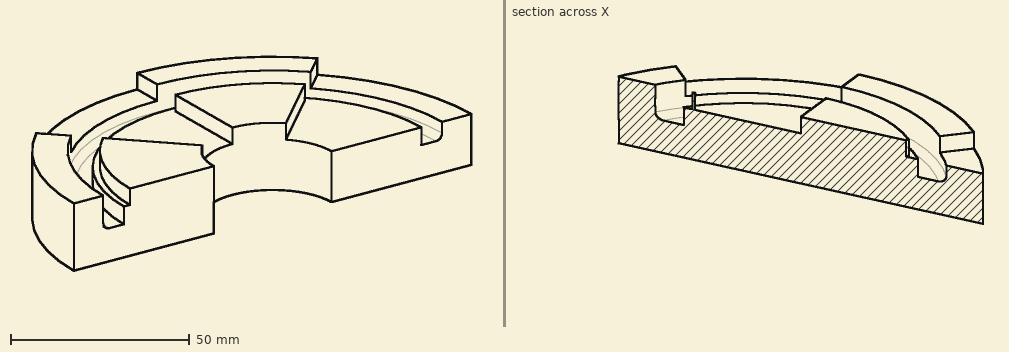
import cadquery as cq
import math

outer_radius = 67.5
bore_radius = 20.0
height = 20.5
step_height = 5.0
rim_inner_radius = 57.5
hub_radius = 50.5
pad_radius = 48.5
groove_depth = 5.4
groove_fillet = 2.0
sector_angle = 45
raised_sector_starts = (135, 225)

base_height = height - step_height
groove_floor = base_height - groove_depth


def sector(inner_radius, radius, start_angle, sweep, bottom, thickness):
    """Ring sector about Z, with angles measured from +X in degrees."""
    def point(distance, angle):
        turn = math.radians(angle)
        return distance * math.cos(turn), distance * math.sin(turn)

    middle = start_angle + sweep / 2
    end = start_angle + sweep
    return (
        cq.Workplane("XY", origin=(0, 0, bottom))
        .moveTo(*point(inner_radius, start_angle))
        .lineTo(*point(radius, start_angle))
        .threePointArc(point(radius, middle), point(radius, end))
        .lineTo(*point(inner_radius, end))
        .threePointArc(point(inner_radius, middle), point(inner_radius, start_angle))
        .close()
        .extrude(thickness)
    )


arc_mid_radius = rim_inner_radius - groove_fillet * (1 - math.sqrt(0.5))
arc_mid_height = groove_floor + groove_fillet * (1 - math.sqrt(0.5))
base = (
    cq.Workplane("XZ")
    .moveTo(bore_radius, 0)
    .lineTo(outer_radius, 0)
    .lineTo(outer_radius, base_height)
    .lineTo(rim_inner_radius, base_height)
    .lineTo(rim_inner_radius, groove_floor + groove_fillet)
    .threePointArc(
        (arc_mid_radius, arc_mid_height),
        (rim_inner_radius - groove_fillet, groove_floor),
    )
    .lineTo(hub_radius, groove_floor)
    .lineTo(hub_radius, base_height)
    .lineTo(bore_radius, base_height)
    .close()
    .revolve(180, (0, 0, 0), (0, 1, 0))
    .rotate((0, 0, 0), (0, 0, 1), 90)
)

result = base
for start in raised_sector_starts:
    hub_pad = sector(bore_radius, pad_radius, start, sector_angle, base_height, step_height)
    rim_pad = sector(rim_inner_radius, outer_radius, start, sector_angle, base_height, step_height)
    result = result.union(hub_pad).union(rim_pad)